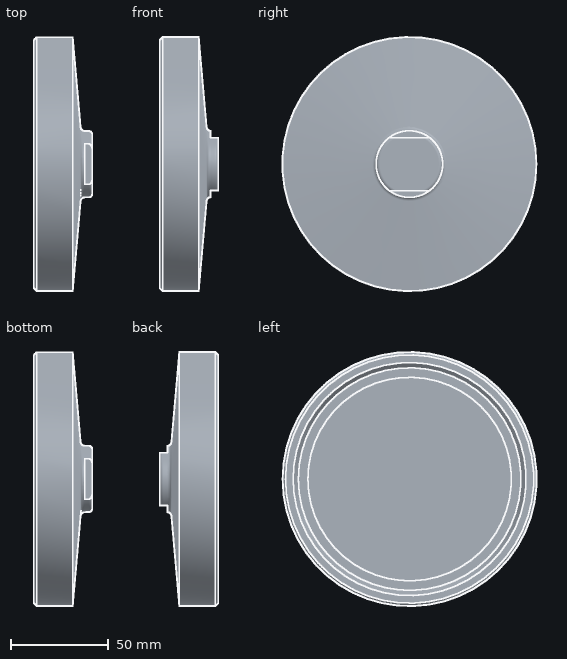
import cadquery as cq

outer_diameter = 130.0
rim_width = 20.0
rim_chamfer = 1.5

mouth_diameter = 119.1
recess_diameter = 113.8
taper_depth = 10.0
floor_depth = 14.0
disc_diameter = 104.0
disc_top = 10.0

total_width = 30.0
hub_diameter = 34.0
hub_round = 2.0
hub_flare = 2.1
hub_flat_length = 3.9
across_flats = 27.0

outer_radius = outer_diameter / 2
hub_radius = hub_diameter / 2
flat_start = total_width - hub_flat_length
cone_end = flat_start - hub_flare
flare_radius = hub_radius + hub_flare
diagonal = 0.5 ** 0.5


def make_body():
    """Revolve the rim, the conical back and the flared, rounded hub."""
    flare_middle = (flat_start - hub_flare * diagonal, flare_radius - hub_flare * diagonal)
    round_middle = (
        total_width - hub_round * (1 - diagonal),
        hub_radius - hub_round * (1 - diagonal),
    )
    profile = (
        cq.Workplane("XY")
        .moveTo(0, 0)
        .lineTo(0, outer_radius - rim_chamfer)
        .lineTo(rim_chamfer, outer_radius)
        .lineTo(rim_width, outer_radius)
        .lineTo(cone_end, flare_radius)
        .threePointArc(flare_middle, (flat_start, hub_radius))
        .lineTo(total_width - hub_round, hub_radius)
        .threePointArc(round_middle, (total_width, hub_radius - hub_round))
        .lineTo(total_width, 0)
        .close()
    )
    return profile.revolve(360, (0, 0, 0), (1, 0, 0))


def make_recess():
    """Revolve the empty space around and in front of the raised disc."""
    profile = (
        cq.Workplane("XY")
        .moveTo(0, 0)
        .lineTo(0, mouth_diameter / 2)
        .lineTo(taper_depth, recess_diameter / 2)
        .lineTo(floor_depth, recess_diameter / 2)
        .lineTo(floor_depth, disc_diameter / 2)
        .lineTo(disc_top, disc_diameter / 2)
        .lineTo(disc_top, 0)
        .close()
    )
    return profile.revolve(360, (0, 0, 0), (1, 0, 0))


def make_flat_cutter(side):
    """Block outside one hub flat; side is +1 for the top and -1 for the bottom."""
    return cq.Workplane("XY").box(
        hub_flat_length, hub_diameter, hub_diameter, centered=(False, True, True)
    ).translate((flat_start, 0, side * (across_flats + hub_diameter) / 2))


result = make_body().cut(make_recess())
for flat_side in (1, -1):
    result = result.cut(make_flat_cutter(flat_side))